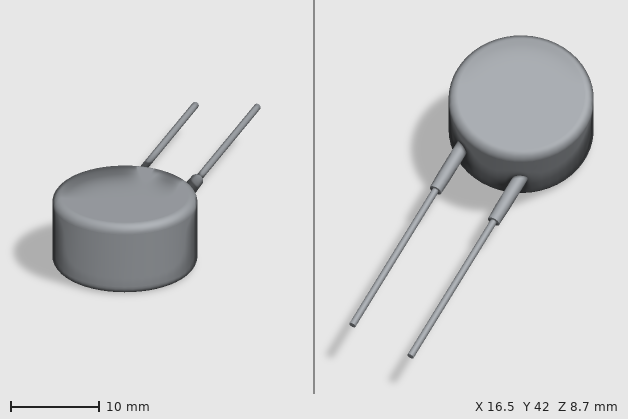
import cadquery as cq

body_diameter = 16.5
body_height = 8.7
edge_radius = 1.0

overall_length = 42.0
lead_spacing = 7.48
lead_height_offset = 0.5
wire_diameter = 0.8

sleeve_diameter = 1.6
sleeve_end_diameter = 1.45
sleeve_projection = 5.4
taper_length = 2.0

body_radius = body_diameter / 2
wire_end = overall_length - body_radius
sleeve_end = body_radius + sleeve_projection
taper_start = sleeve_end - taper_length
root = body_radius / 2


def make_body():
    """Cylinder with rounded top and bottom rims."""
    disc = cq.Workplane("XY").cylinder(body_height, body_radius)
    return disc.edges("%CIRCLE").fillet(edge_radius)


def make_lead(x, z):
    """Sleeve, tapered sleeve tip and wire turned about an axis parallel to Y."""
    half_profile = (
        cq.Workplane("XY")
        .moveTo(0, root)
        .lineTo(sleeve_diameter / 2, root)
        .lineTo(sleeve_diameter / 2, taper_start)
        .lineTo(sleeve_end_diameter / 2, sleeve_end)
        .lineTo(wire_diameter / 2, sleeve_end)
        .lineTo(wire_diameter / 2, wire_end)
        .lineTo(0, wire_end)
        .close()
    )
    lead = half_profile.revolve(360, (0, 0, 0), (0, 1, 0))
    return lead.translate((x, 0, z))


result = make_body()
for side in (-1, 1):
    result = result.union(make_lead(side * lead_spacing / 2, side * lead_height_offset))